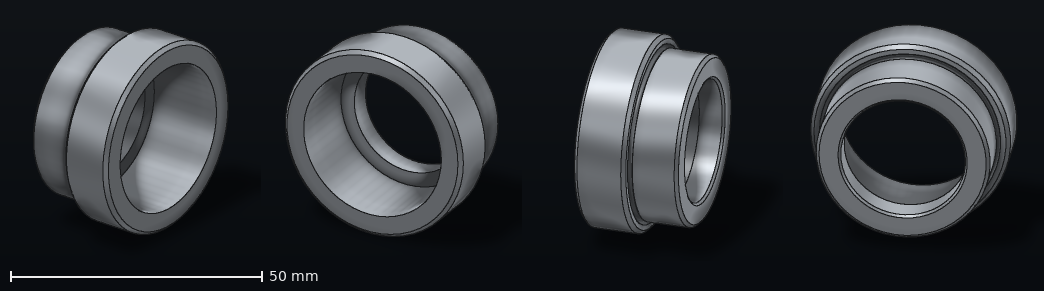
import cadquery as cq

total_length = 21.0
collar_radius = 20.1
spigot_radius = 17.5
spigot_length = 10.2

bore_radius = 12.5
bore_length = 5.25
counterbore_radius = 15.5

spigot_chamfer = 0.7
collar_chamfer = 0.8
bore_chamfer = 0.5
undercut_radius = 0.72


def revolve_about_x(profile):
    """Turn a closed XY profile (X axial, Y radial) a full turn about the X axis."""
    return profile.close().revolve(360, (0, 0, 0), (1, 0, 0))


def turned_body():
    """Spigot and collar with chamfered outer edges."""
    return revolve_about_x(
        cq.Workplane("XY")
        .moveTo(0, 0)
        .lineTo(0, spigot_radius - spigot_chamfer)
        .lineTo(spigot_chamfer, spigot_radius)
        .lineTo(spigot_length, spigot_radius)
        .lineTo(spigot_length, collar_radius - collar_chamfer)
        .lineTo(spigot_length + collar_chamfer, collar_radius)
        .lineTo(total_length - collar_chamfer, collar_radius)
        .lineTo(total_length, collar_radius - collar_chamfer)
        .lineTo(total_length, 0)
    )


def stepped_bore():
    """Chamfered bore at the spigot end, opening into a counterbore from the collar end."""
    return revolve_about_x(
        cq.Workplane("XY")
        .moveTo(0, 0)
        .lineTo(0, bore_radius + bore_chamfer)
        .lineTo(bore_chamfer, bore_radius)
        .lineTo(bore_length, bore_radius)
        .lineTo(bore_length, counterbore_radius)
        .lineTo(total_length, counterbore_radius)
        .lineTo(total_length, 0)
    )


def corner_undercut():
    """Round relief groove centred on the corner between spigot and shoulder."""
    section = cq.Workplane("XY").center(spigot_length, spigot_radius).circle(undercut_radius)
    return section.revolve(360, (-spigot_length, -spigot_radius, 0), (0, -spigot_radius, 0))


result = turned_body().cut(stepped_bore()).cut(corner_undercut())